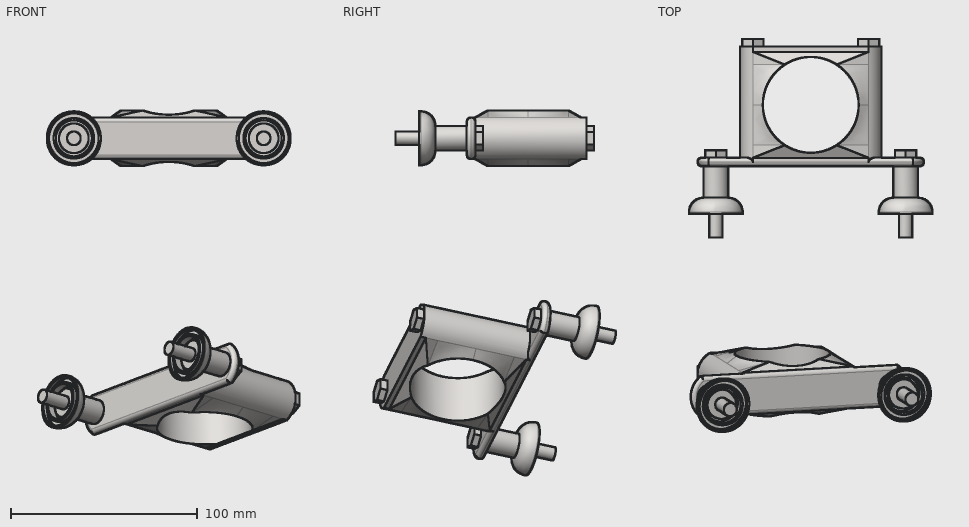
import cadquery as cq
import math


body_height = 22.3
body_back_y = 31.3
body_flat_half = 31.0
body_half_width = 38.0
bore_radius = 25.6

pad_height = 29.9
pad_base_half_y = 28.3
pad_rim_half_y = 21.5

plate_center_y = -30.5
plate_thickness = 4.7
plate_half_length = 60.6
plate_flat_half = 54.8
edge_land = 0.05
plate_round = (plate_thickness - edge_land) / 2

foot_radius = 14.5
overall_length = 130.6
foot_x = overall_length / 2 - foot_radius
clamp_bolt_x = body_flat_half
head_corner_diameter = 13.3
head_thickness = 3.9
sleeve_radius = 6.7
sleeve_length = 16.7
stud_radius = 3.7
stud_projection = 12.7

dome_round = foot_radius - sleeve_radius
rim_straight = 0.9
rim_wall = 1.2
lip_outer_radius = 10.8
lip_inner_radius = lip_outer_radius - rim_wall
boss_radius = 8.0
outer_groove_depth = 2.5
inner_groove_depth = 5.2
boss_depth = 3.1

plate_back_y = plate_center_y + plate_thickness / 2
plate_front_y = plate_center_y - plate_thickness / 2
dome_top_y = plate_front_y - sleeve_length
rim_y = dome_top_y - dome_round - rim_straight


def bowed_bar(half_flat, half_length, height, back_y, front_y):
    """Bar along X with flat top and bottom and arc-shaped ends, extruded along Y."""
    top = height / 2
    return (
        cq.Workplane("XZ", origin=(0, back_y, 0))
        .moveTo(-half_flat, -top)
        .lineTo(half_flat, -top)
        .threePointArc((half_length, 0), (half_flat, top))
        .lineTo(-half_flat, top)
        .threePointArc((-half_length, 0), (-half_flat, -top))
        .close()
        .extrude(back_y - front_y)
    )


def make_pad():
    """Upper pad: sloped faces rising from a rectangle to the rim of the bore."""
    base_z = body_height / 2
    rim_z = pad_height / 2
    half_arc_angle = math.asin(pad_rim_half_y / bore_radius) / 2
    rim_half_x = math.sqrt(bore_radius**2 - pad_rim_half_y**2)

    def base(x_side, y):
        return cq.Vector(x_side * body_flat_half, y, base_z)

    def rim(x_side, y_side):
        return cq.Vector(x_side * rim_half_x, y_side * pad_rim_half_y, rim_z)

    def polygon(*points):
        return cq.Face.makeFromWires(cq.Wire.makePolygon(list(points), close=True))

    faces = []
    rim_edges = []
    base_edges = []

    for y_side in (-1, 1):
        outer_y = y_side * pad_base_half_y
        faces.append(polygon(base(-1, outer_y), base(1, outer_y), rim(1, y_side), rim(-1, y_side)))
        rim_edges.append(cq.Edge.makeLine(rim(-1, y_side), rim(1, y_side)))
        base_edges.append(cq.Edge.makeLine(base(-1, outer_y), base(1, outer_y)))

    for x_side in (-1, 1):
        side_middle = cq.Vector(x_side * bore_radius, 0, rim_z)
        for y_side in (-1, 1):
            corner = base(x_side, y_side * pad_base_half_y)
            inner = base(x_side, y_side * pad_rim_half_y)
            faces.append(polygon(corner, inner, rim(x_side, y_side)))
            base_edges.append(cq.Edge.makeLine(corner, inner))

            arc_middle = cq.Vector(
                x_side * bore_radius * math.cos(half_arc_angle),
                y_side * bore_radius * math.sin(half_arc_angle),
                rim_z,
            )
            rim_arc = cq.Edge.makeThreePointArc(side_middle, arc_middle, rim(x_side, y_side))
            base_line = cq.Edge.makeLine(base(x_side, 0), inner)
            faces.append(cq.Face.makeRuledSurface(base_line, rim_arc))
            rim_edges.append(rim_arc)
            base_edges.append(base_line)

    for boundary in (base_edges, rim_edges):
        faces.append(cq.Face.makeFromWires(cq.Wire.combine(boundary)[0]))
    return cq.Workplane(cq.Solid.makeSolid(cq.Shell.makeShell(faces)))


def bolt_head(x, seat_y):
    """Hexagonal head standing on the +Y side of its seat, with corners up and down."""
    return (
        cq.Workplane("XZ", origin=(x, seat_y, 0))
        .transformed(rotate=(0, 0, 90))
        .polygon(6, head_corner_diameter)
        .extrude(-head_thickness)
    )


def make_foot(x):
    """Sleeve, grooved dome cup and stud, revolved about a line along Y."""
    arc_mid_r = sleeve_radius + dome_round * math.sin(math.pi / 4)
    arc_mid_y = dome_top_y - dome_round * (1 - math.cos(math.pi / 4))
    outer_groove_y = rim_y + outer_groove_depth
    inner_groove_y = rim_y + inner_groove_depth
    boss_y = rim_y + boss_depth
    groove_outer_radius = foot_radius - rim_wall
    profile = (
        cq.Workplane("ZY")
        .moveTo(0, plate_center_y)
        .lineTo(sleeve_radius, plate_center_y)
        .lineTo(sleeve_radius, dome_top_y)
        .threePointArc((arc_mid_r, arc_mid_y), (foot_radius, rim_y + rim_straight))
        .lineTo(foot_radius, rim_y)
        .lineTo(groove_outer_radius, rim_y)
        .lineTo(groove_outer_radius, outer_groove_y)
        .lineTo(lip_outer_radius, outer_groove_y)
        .lineTo(lip_outer_radius, rim_y)
        .lineTo(lip_inner_radius, rim_y)
        .lineTo(lip_inner_radius, inner_groove_y)
        .lineTo(boss_radius, inner_groove_y)
        .lineTo(boss_radius, boss_y)
        .lineTo(stud_radius, boss_y)
        .lineTo(stud_radius, rim_y - stud_projection)
        .lineTo(0, rim_y - stud_projection)
        .close()
    )
    return profile.revolve(360, (0, 0, 0), (0, 1, 0)).translate((x, 0, 0))


upper_pad = make_pad()
body = bowed_bar(body_flat_half, body_half_width, body_height, body_back_y, plate_center_y)
body = body.union(upper_pad).union(upper_pad.mirror("XY"))
bore = cq.Workplane("XY").circle(bore_radius).extrude(pad_height, both=True)
body = body.cut(bore)

plate = bowed_bar(plate_flat_half, plate_half_length, body_height, plate_back_y, plate_front_y)
plate = plate.faces("<Y or >Y").edges().fillet(plate_round)

result = body.union(plate)
for side in (-1, 1):
    result = result.union(bolt_head(side * clamp_bolt_x, body_back_y))
    result = result.union(bolt_head(side * foot_x, plate_back_y))
    result = result.union(make_foot(side * foot_x))